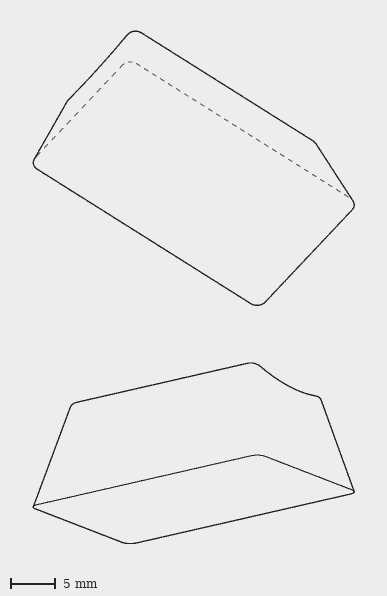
import cadquery as cq

base_length = 32.6
base_width = 18.3
draft_angle = 14.0
blank_height = 14.65

dish_radius = 20.2
dish_bottom_height = 10.8
dish_center_y = -2.35

corner_radius = 1.2
rim_radius = 0.65


def drafted_block():
    """Rectangular frustum, taller than the finished cap, with rounded corner edges."""
    block = (
        cq.Workplane("XY")
        .rect(base_length, base_width)
        .extrude(blank_height, taper=draft_angle)
    )
    sloping_edges = block.edges("not(#Z)")
    return sloping_edges.fillet(corner_radius)


def dish_cutter():
    """Cylinder whose underside forms the concave top."""
    return (
        cq.Workplane("YZ")
        .center(dish_center_y, dish_bottom_height + dish_radius)
        .circle(dish_radius)
        .extrude(base_length / 2, both=True)
    )


def round_rim(cap):
    """Round every edge where the dish meets the walls."""
    return cap.faces(">Z").edges().fillet(rim_radius)


result = round_rim(drafted_block().cut(dish_cutter()))